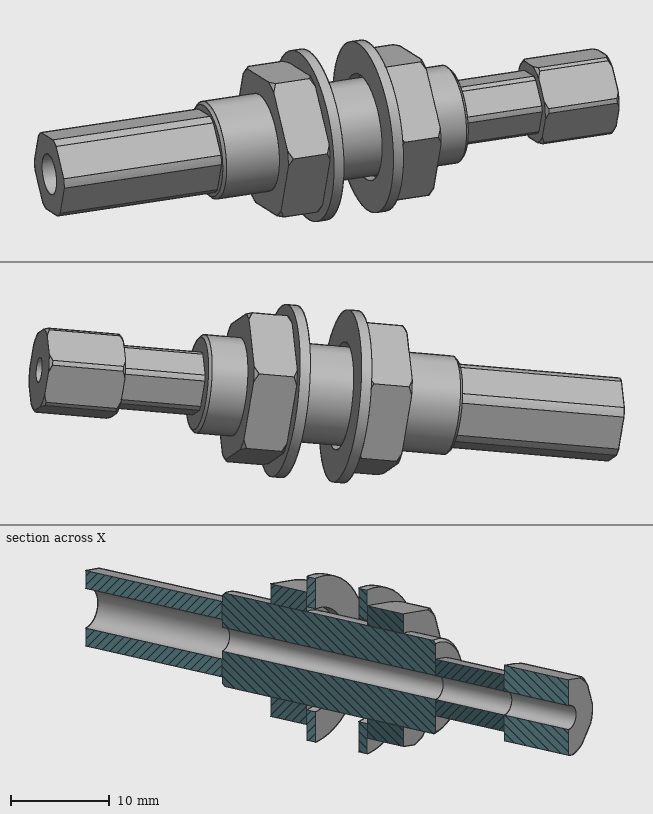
import cadquery as cq
import math

HEXAGON_SIDES = 6
FLATS_TO_CORNERS = 1 / math.cos(math.pi / HEXAGON_SIDES)
TURN_ANGLE = 9.7

SLEEVE_FRONT = 17.0
SLEEVE_LENGTH = 26.5
FRONT_NUT_FRONT = 23.0
REAR_NUT_FRONT = 35.0
END_NUT_LENGTH = 8.0
TOTAL_LENGTH = 60.0
SLEEVE_REAR = SLEEVE_FRONT + SLEEVE_LENGTH
END_NUT_FRONT = TOTAL_LENGTH - END_NUT_LENGTH

FRONT_BORE_DIAMETER = 4.2
REAR_BORE_DIAMETER = 2.5

FRONT_ROD_FLATS = 8.0
FRONT_ROD_CORNER_DIAMETER = 8.7

REAR_ROD_FLATS = 6.0
REAR_ROD_CORNER_DIAMETER = 6.6

SLEEVE_DIAMETER = 10.0
SLEEVE_CHAMFER = 0.3

NUT_FLATS = 14.0
NUT_THICKNESS = 4.5
NUT_CHAMFER = 0.4
NUT_CORNER_DIAMETER = NUT_FLATS * FLATS_TO_CORNERS

WASHER_DIAMETER = 17.5
WASHER_HOLE_DIAMETER = 11.0
WASHER_THICKNESS = 1.1

END_NUT_FLATS = 8.0
END_NUT_CORNER_DIAMETER = 8.95
END_NUT_CHAMFER = 0.3


def cylinder(diameter, front, length):
    """Round bar along Y from the front station."""
    face = cq.Workplane("XZ", origin=(0, front, 0))
    return face.circle(diameter / 2).extrude(-length)


def hexagon(flats, front, length):
    """Sharp hexagon bar along Y, turned about its axis."""
    face = cq.Workplane("XZ", origin=(0, front, 0))
    bar = face.polygon(HEXAGON_SIDES, flats * FLATS_TO_CORNERS).extrude(-length)
    return bar.rotate((0, 0, 0), (0, 1, 0), -TURN_ANGLE)


def turned_rod(flats, corner_diameter, bore_diameter, front, length):
    """Hexagon rod whose corners are turned round, with a bore through it."""
    rod = hexagon(flats, front, length).intersect(cylinder(corner_diameter, front, length))
    return rod.cut(cylinder(bore_diameter, front, length))


def turned_nut(flats, corner_diameter, chamfer, hole_diameter, front, length):
    """Hexagon nut trimmed by a round envelope that is chamfered at both ends."""
    envelope = cylinder(corner_diameter, front, length).faces("<Y or >Y").chamfer(chamfer)
    nut = hexagon(flats, front, length).intersect(envelope)
    return nut.cut(cylinder(hole_diameter, front, length))


def make_sleeve():
    sleeve = cylinder(SLEEVE_DIAMETER, SLEEVE_FRONT, SLEEVE_LENGTH)
    sleeve = sleeve.faces("<Y or >Y").chamfer(SLEEVE_CHAMFER)
    return sleeve.cut(cylinder(REAR_BORE_DIAMETER, SLEEVE_FRONT, SLEEVE_LENGTH))


def make_clamping_nut(front):
    return turned_nut(
        NUT_FLATS, NUT_CORNER_DIAMETER, NUT_CHAMFER, SLEEVE_DIAMETER, front, NUT_THICKNESS
    )


def make_washer(front):
    washer = cylinder(WASHER_DIAMETER, front, WASHER_THICKNESS)
    return washer.cut(cylinder(WASHER_HOLE_DIAMETER, front, WASHER_THICKNESS))


front_rod = turned_rod(FRONT_ROD_FLATS, FRONT_ROD_CORNER_DIAMETER, FRONT_BORE_DIAMETER, 0, SLEEVE_FRONT)

sleeve = make_sleeve()

rear_rod = turned_rod(
    REAR_ROD_FLATS,
    REAR_ROD_CORNER_DIAMETER,
    REAR_BORE_DIAMETER,
    SLEEVE_REAR,
    END_NUT_FRONT - SLEEVE_REAR,
)

end_nut = turned_nut(
    END_NUT_FLATS,
    END_NUT_CORNER_DIAMETER,
    END_NUT_CHAMFER,
    REAR_BORE_DIAMETER,
    END_NUT_FRONT,
    END_NUT_LENGTH,
)

clamping_nuts = [make_clamping_nut(front) for front in (FRONT_NUT_FRONT, REAR_NUT_FRONT)]

washer_fronts = (FRONT_NUT_FRONT + NUT_THICKNESS, REAR_NUT_FRONT - WASHER_THICKNESS)
washers = [make_washer(front) for front in washer_fronts]

result = cq.Compound.makeCompound(
    [
        front_rod.val(),
        sleeve.val(),
        rear_rod.val(),
        end_nut.val(),
        *[nut.val() for nut in clamping_nuts],
        *[washer.val() for washer in washers],
    ]
)